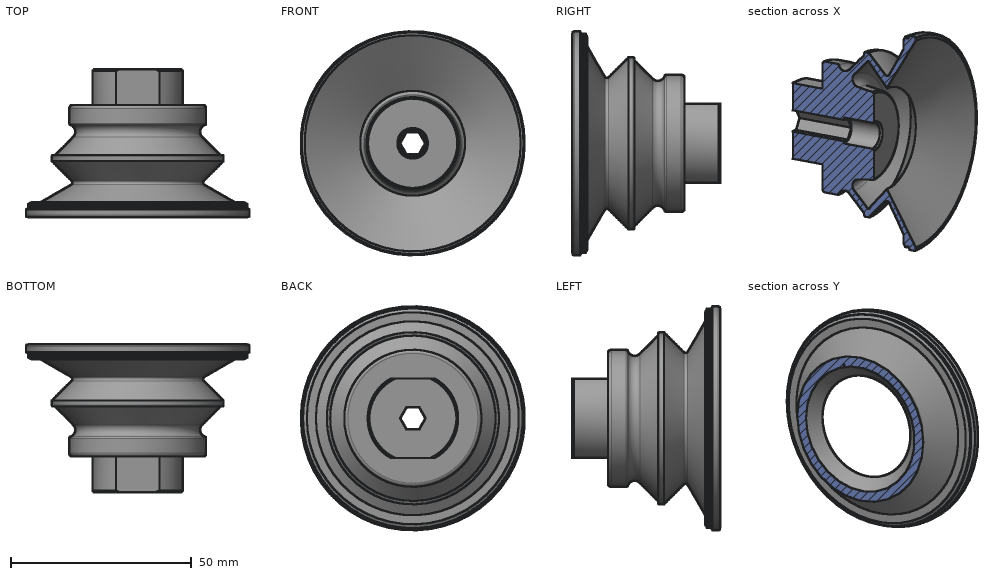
import cadquery as cq
import math


total_length = 41.0
collar_top = 31.1
stub_radius = 12.5
stub_chamfer = 0.5
across_flats = 21.95
collar_radius = 19.0
collar_top_fillet = 1.0
collar_bottom_fillet = 0.5

upper_groove_floor = 17.3
upper_groove_round = 2.0
upper_groove_y = 23.7
ridge_radius = 23.8
ridge_top = 17.3
ridge_bottom = 15.6
ridge_round = 0.5
waist_floor = 18.1
waist_round = 0.7
fold_angle = math.radians(45)
skirt_angle = math.radians(30)

lip_radius = 31.0
lip_top = 2.2
lip_round = 0.7
bead_radius = 30.4
bead_top = 4.2
bead_chamfer = 1.05
bead_edge = 3.65
bead_bottom = 3.15
lip_groove_radius = 30.15
lip_groove_bottom = 2.65
lip_round_angle = math.radians(60)
lip_face_radius = 30.1
mouth_radius = 29.9

neck_radius = 14.5
neck_y = 9.7
cavity_radius = 21.3
cavity_y = 15.9
core_face_y = 13.9
core_face_radius = 12.35
core_edge = 0.45
core_root_radius = 13.4
core_root_round = 2.0

bore_radius = 3.65
bore_chamfer = 0.55
bore_depth = 9.9
hex_across_flats = 6.0


def on_circle(center, radius, angle):
    """Point on a circle, with the angle measured from the outward radial direction."""
    return (center[0] + radius * math.cos(angle), center[1] + radius * math.sin(angle))


def curve(profile, center, radius, start, end):
    """Draw an arc from the current point, which is the arc's start."""
    return profile.threePointArc(
        on_circle(center, radius, (start + end) / 2), on_circle(center, radius, end)
    )


def arc(profile, center, radius, start, end):
    """Draw a line to the start of an arc, then the arc itself."""
    profile = profile.lineTo(*on_circle(center, radius, start))
    return curve(profile, center, radius, start, end)


def make_body():
    quarter = math.pi / 2

    groove_center = (upper_groove_floor + upper_groove_round, upper_groove_y)
    collar_edge_r = collar_radius - collar_bottom_fillet
    groove_offset = groove_center[0] - collar_edge_r
    groove_rise = math.sqrt((upper_groove_round + collar_bottom_fillet) ** 2 - groove_offset**2)
    collar_edge = (collar_edge_r, upper_groove_y + groove_rise)
    blend_angle = math.atan2(groove_rise, -groove_offset)

    groove_exit_angle = math.pi + fold_angle
    groove_exit = on_circle(groove_center, upper_groove_round, groove_exit_angle)
    shoulder_radius = groove_exit[0] + (groove_exit[1] - ridge_top) * math.tan(fold_angle)

    waist_center_r = waist_floor + waist_round
    waist_top = waist_center_r + waist_round * math.cos(math.pi - fold_angle)
    waist_top_y = ridge_bottom - (ridge_radius - waist_top) / math.tan(fold_angle)
    waist_center = (waist_center_r, waist_top_y - waist_round * math.sin(fold_angle))
    skirt_contact = math.pi + quarter - skirt_angle
    skirt_start = on_circle(waist_center, waist_round, skirt_contact)
    skirt_end_r = skirt_start[0] + (skirt_start[1] - bead_top) / math.tan(skirt_angle)

    root_center_r = core_root_radius + core_root_round
    root_contact_r = root_center_r + core_root_round * math.cos(fold_angle)
    root_contact_y = cavity_y + (cavity_radius - root_contact_r) / math.tan(fold_angle)
    root_center = (root_center_r, root_contact_y - core_root_round * math.sin(fold_angle))

    profile = cq.Workplane("XY").moveTo(0, collar_top)
    collar_corner = (collar_radius - collar_top_fillet, collar_top - collar_top_fillet)
    profile = arc(profile, collar_corner, collar_top_fillet, quarter, 0)
    profile = arc(profile, collar_edge, collar_bottom_fillet, 0, blend_angle - math.pi)
    profile = curve(profile, groove_center, upper_groove_round, blend_angle, groove_exit_angle)
    profile = profile.lineTo(shoulder_radius, ridge_top)
    profile = arc(profile, (ridge_radius - ridge_round, ridge_top - ridge_round), ridge_round, quarter, 0)
    profile = profile.lineTo(ridge_radius, ridge_bottom)
    profile = arc(profile, waist_center, waist_round, math.pi - fold_angle, skirt_contact)
    profile = profile.lineTo(skirt_end_r, bead_top)
    profile = profile.lineTo(bead_radius - bead_chamfer, bead_top)
    profile = profile.lineTo(bead_radius, bead_edge)
    profile = profile.lineTo(bead_radius, bead_bottom)
    profile = profile.lineTo(lip_groove_radius, bead_bottom)
    profile = profile.lineTo(lip_groove_radius, lip_groove_bottom)
    profile = profile.lineTo(lip_radius, lip_top)
    profile = arc(profile, (lip_radius - lip_round, lip_round), lip_round, 0, -lip_round_angle)
    profile = profile.lineTo(lip_face_radius, 0)
    profile = profile.lineTo(mouth_radius, 0)
    profile = profile.lineTo(neck_radius, neck_y)
    profile = profile.lineTo(cavity_radius, cavity_y)
    profile = arc(profile, root_center, core_root_round, fold_angle, math.pi)
    profile = profile.lineTo(core_face_radius + core_edge, core_face_y + core_edge)
    profile = profile.lineTo(core_face_radius, core_face_y)
    profile = profile.lineTo(0, core_face_y)
    return profile.close().revolve(360, (0, 0, 0), (0, 1, 0))


def cylinder_along_y(radius, start, length):
    return cq.Workplane("XZ", origin=(0, start, 0)).circle(radius).extrude(-length)


def make_stub():
    stub = cylinder_along_y(stub_radius, upper_groove_y, total_length - upper_groove_y)
    stub = stub.faces(">Y").chamfer(stub_chamfer)
    flats = cq.Workplane("XY").box(2 * stub_radius, 2 * total_length, across_flats)
    return stub.intersect(flats)


def make_passage():
    bore = cylinder_along_y(bore_radius, core_face_y, bore_depth)
    mouth = cq.Vector(0, core_face_y, 0)
    countersink = cq.Solid.makeCone(
        bore_radius + bore_chamfer, bore_radius, bore_chamfer, mouth, cq.Vector(0, 1, 0)
    )
    hex_corner_diameter = hex_across_flats / math.cos(math.radians(30))
    hexagon = (
        cq.Workplane("XZ", origin=(0, core_face_y, 0))
        .polygon(6, hex_corner_diameter)
        .extrude(core_face_y - total_length)
    )
    return bore.union(cq.Workplane(countersink)).union(hexagon)


result = make_body().union(make_stub()).cut(make_passage())